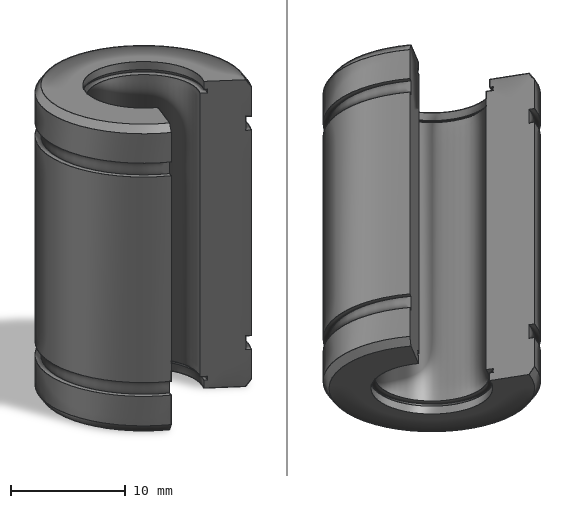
import cadquery as cq
import math

length = 29.0
outer_diameter = 19.0
outer_radius = outer_diameter / 2
bore_radius = 5.0

chamfer_radial = 0.52
chamfer_axial = 0.7

groove_offset = 3.48
groove_width = 1.3
groove_radius = 9.0
groove_cut_margin = 0.3

lip_radius = 5.3
lip_thickness = 0.75
undercut_radius = 5.63
recess_depth = 1.1

opening_half_angle = 40.0
opening_apex_x = -0.35
wedge_reach = 2 * outer_radius


def cylinder(radius, height, bottom):
    return cq.Workplane("XY").workplane(offset=bottom).circle(radius).extrude(height)


def ring(inner, outer, height, bottom):
    return cylinder(outer, height, bottom).cut(cylinder(inner, height, bottom))


def chamfered_body():
    end_radius = outer_radius - chamfer_radial
    half_length = length / 2
    shoulder = half_length - chamfer_axial
    profile = [
        (bore_radius, -half_length),
        (end_radius, -half_length),
        (outer_radius, -shoulder),
        (outer_radius, shoulder),
        (end_radius, half_length),
        (bore_radius, half_length),
    ]
    return cq.Workplane("XZ").polyline(profile).close().revolve(360, (0, 0), (0, 1))


def opening_wedge():
    half_width = wedge_reach * math.tan(math.radians(opening_half_angle))
    far_x = opening_apex_x + wedge_reach
    outline = [(opening_apex_x, 0), (far_x, -half_width), (far_x, half_width)]
    return cq.Workplane("XY").polyline(outline).close().extrude(length / 2, both=True)


body = chamfered_body()

upper_groove_bottom = length / 2 - groove_offset - groove_width
lower_groove_bottom = -length / 2 + groove_offset
for bottom in (lower_groove_bottom, upper_groove_bottom):
    body = body.cut(ring(groove_radius, outer_radius + groove_cut_margin, groove_width, bottom))

undercut_width = recess_depth - lip_thickness
for bottom in (-length / 2, length / 2 - recess_depth):
    body = body.cut(cylinder(lip_radius, recess_depth, bottom))

for bottom in (-length / 2 + lip_thickness, length / 2 - recess_depth):
    body = body.cut(cylinder(undercut_radius, undercut_width, bottom))

result = body.cut(opening_wedge())